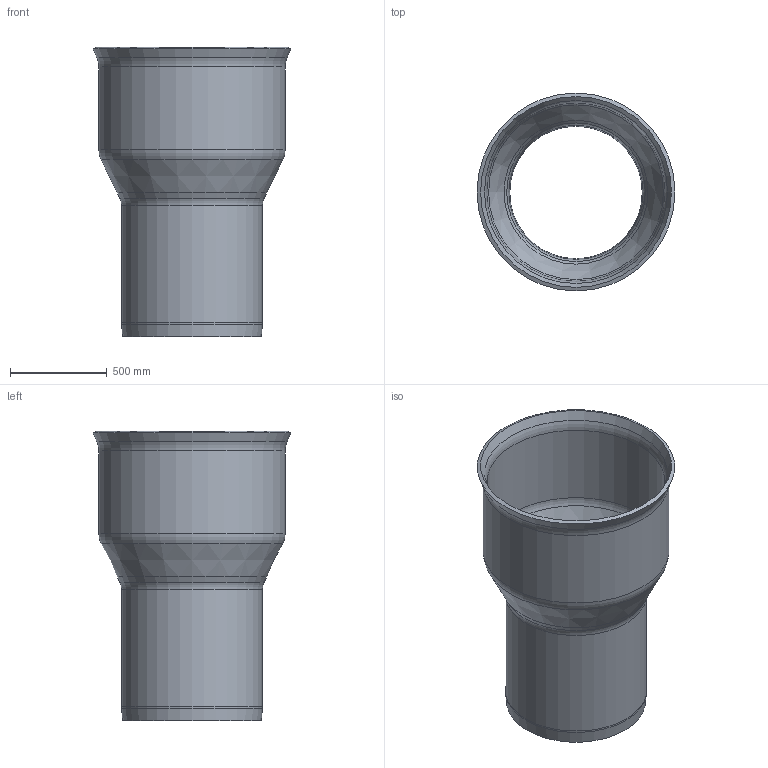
import cadquery as cq
import math

TOTAL_HEIGHT = 1500.0
RIM_RADIUS = 1025.0 / 2
SOCKET_OUTER_RADIUS = 965.0 / 2
SOCKET_WALL = (965.0 - 925.0) / 2
SPIGOT_OUTER_RADIUS = 730.0 / 2
SPIGOT_WALL = (730.0 - 698.0) / 2

FLARE_HEIGHT = 70.0
SHOULDER_CORNER_HEIGHT = 942.0
NECK_CORNER_HEIGHT = 700.0
TIP_CORNER_HEIGHT = 70.0

CONE_HEIGHT = SHOULDER_CORNER_HEIGHT - NECK_CORNER_HEIGHT
FLARE_ANGLE = math.degrees(math.atan((RIM_RADIUS - SOCKET_OUTER_RADIUS) / FLARE_HEIGHT))
CONE_ANGLE = math.degrees(math.atan((SOCKET_OUTER_RADIUS - SPIGOT_OUTER_RADIUS) / CONE_HEIGHT))
TIP_ANGLE = 5.0

FLARE_BEND_RADIUS = 120.0
SHOULDER_BEND_RADIUS = 120.0
NECK_BEND_RADIUS = 84.0
TIP_BEND_RADIUS = 100.0

SPIGOT_CONE_LENGTH = 50.0


def normal(angle):
    """Unit (r, z) direction out of a wall that widens upwards by `angle` degrees."""
    return math.cos(math.radians(angle)), -math.sin(math.radians(angle))


def shifted(point, angle, distance):
    """Point moved by `distance` along the outward normal of a wall at `angle`."""
    direction = normal(angle)
    return point[0] + distance * direction[0], point[1] + distance * direction[1]


def along(point, angle, height):
    """Point `height` higher (or lower, if negative) along a straight wall at `angle`."""
    return point[0] + height * math.tan(math.radians(angle)), point[1] + height


class Bend:
    """Round bend at a corner of the wall, listed from its upper end to its lower end.

    `centre_side` is -1 where the bend's centre lies inside the pipe and +1 where it lies outside.
    """

    def __init__(self, corner, upper_angle, lower_angle, outer_radius, centre_side):
        self.upper_angle = upper_angle
        self.lower_angle = lower_angle
        self.outer_radius = outer_radius
        self.centre_side = centre_side
        middle_angle = (upper_angle + lower_angle) / 2
        half_turn = math.radians(abs(upper_angle - lower_angle) / 2)
        self.centre = shifted(corner, middle_angle, centre_side * outer_radius / math.cos(half_turn))

    def at(self, angle, depth):
        """Point of the bend at a wall angle, `depth` below the outer surface."""
        radius = self.outer_radius + self.centre_side * depth
        return shifted(self.centre, angle, -self.centre_side * radius)

    def start(self, depth=0.0):
        return self.at(self.upper_angle, depth)

    def middle(self, depth=0.0):
        return self.at((self.upper_angle + self.lower_angle) / 2, depth)

    def end(self, depth=0.0):
        return self.at(self.lower_angle, depth)


rim_outer = (RIM_RADIUS, TOTAL_HEIGHT + SOCKET_WALL * normal(FLARE_ANGLE)[1])
rim_inner = shifted(rim_outer, FLARE_ANGLE, -SOCKET_WALL)
flare_corner = (SOCKET_OUTER_RADIUS, rim_outer[1] - FLARE_HEIGHT)
flare = Bend(flare_corner, FLARE_ANGLE, 0, FLARE_BEND_RADIUS, 1)

shoulder_corner = (SOCKET_OUTER_RADIUS, SHOULDER_CORNER_HEIGHT)
neck_corner = (SPIGOT_OUTER_RADIUS, NECK_CORNER_HEIGHT)
shoulder = Bend(shoulder_corner, 0, CONE_ANGLE, SHOULDER_BEND_RADIUS, -1)
neck = Bend(neck_corner, CONE_ANGLE, 0, NECK_BEND_RADIUS, 1)

joint_outer = along(neck_corner, CONE_ANGLE, SPIGOT_CONE_LENGTH * math.cos(math.radians(CONE_ANGLE)))
joint_inner = shifted(joint_outer, CONE_ANGLE, -SPIGOT_WALL)

tip = Bend((SPIGOT_OUTER_RADIUS, TIP_CORNER_HEIGHT), 0, TIP_ANGLE, TIP_BEND_RADIUS, -1)
tip_outer = along(tip.end(), TIP_ANGLE, -tip.end()[1])
tip_inner = along(tip.end(SPIGOT_WALL), TIP_ANGLE, -tip.end(SPIGOT_WALL)[1])


def make_socket():
    """Upper body: flared rim, straight socket and the cone, which thins down to the spigot wall."""
    profile = (
        cq.Workplane("XZ")
        .moveTo(*rim_outer)
        .lineTo(*flare.start())
        .threePointArc(flare.middle(), flare.end())
        .lineTo(*shoulder.start())
        .threePointArc(shoulder.middle(), shoulder.end())
        .lineTo(*joint_outer)
        .lineTo(*joint_inner)
        .lineTo(*shoulder.end(SOCKET_WALL))
        .threePointArc(shoulder.middle(SOCKET_WALL), shoulder.start(SOCKET_WALL))
        .lineTo(*flare.end(SOCKET_WALL))
        .threePointArc(flare.middle(SOCKET_WALL), flare.start(SOCKET_WALL))
        .lineTo(*rim_inner)
        .close()
    )
    return profile.revolve(360, (0, 0, 0), (0, 1, 0))


def make_spigot():
    """Lower body: end of the cone, neck bend, straight spigot and its tapered tip."""
    profile = (
        cq.Workplane("XZ")
        .moveTo(*joint_outer)
        .lineTo(*neck.start())
        .threePointArc(neck.middle(), neck.end())
        .lineTo(*tip.start())
        .threePointArc(tip.middle(), tip.end())
        .lineTo(*tip_outer)
        .lineTo(*tip_inner)
        .lineTo(*tip.end(SPIGOT_WALL))
        .threePointArc(tip.middle(SPIGOT_WALL), tip.start(SPIGOT_WALL))
        .lineTo(*neck.end(SPIGOT_WALL))
        .threePointArc(neck.middle(SPIGOT_WALL), neck.start(SPIGOT_WALL))
        .lineTo(*joint_inner)
        .close()
    )
    return profile.revolve(360, (0, 0, 0), (0, 1, 0))


socket = make_socket()
spigot = make_spigot()
result = cq.Compound.makeCompound([socket.val(), spigot.val()])